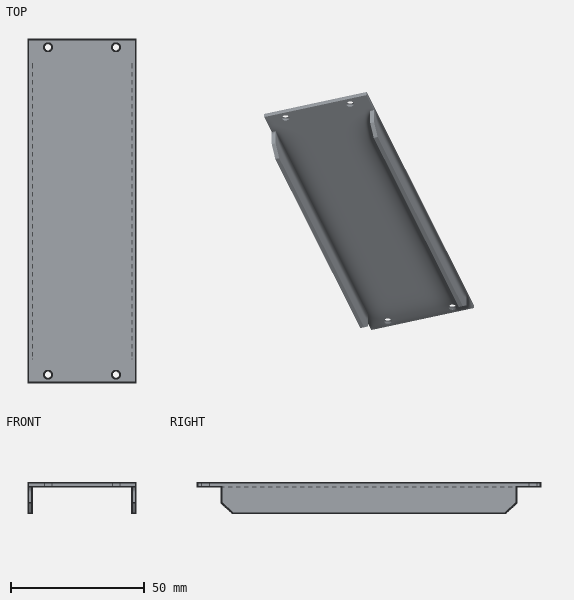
import cadquery as cq

WIDTH = 40.3
LENGTH = 128.5
HEIGHT = 11.5

THICKNESS = 1.5

FLANGE_SETBACK = 9.0
CORNER_CUT_LENGTH = 4.2
CORNER_CUT_HEIGHT = 3.9

HOLE_DIAMETER = 3.0
HOLE_SPACING_X = 25.5
HOLE_END_INSET = 3.0

PANEL_BOTTOM = HEIGHT - THICKNESS


def make_panel():
    """Flat panel with four through holes near its ends."""
    panel = cq.Workplane("XY", origin=(0, 0, PANEL_BOTTOM)).box(
        WIDTH, LENGTH, THICKNESS, centered=(True, True, False)
    )
    hole_spacing_y = LENGTH - 2 * HOLE_END_INSET
    return (
        panel.faces(">Z")
        .workplane()
        .rect(HOLE_SPACING_X, hole_spacing_y, forConstruction=True)
        .vertices()
        .hole(HOLE_DIAMETER)
    )


def make_flange(start_x):
    """Upright flange with cut lower corners, extending in +X from start_x."""
    half_length = LENGTH / 2 - FLANGE_SETBACK
    half_bottom = half_length - CORNER_CUT_LENGTH
    outline = [
        (-half_length, HEIGHT),
        (-half_length, CORNER_CUT_HEIGHT),
        (-half_bottom, 0),
        (half_bottom, 0),
        (half_length, CORNER_CUT_HEIGHT),
        (half_length, HEIGHT),
    ]
    return cq.Workplane("YZ", origin=(start_x, 0, 0)).polyline(outline).close().extrude(THICKNESS)


result = make_panel()
for flange_x in (-WIDTH / 2, WIDTH / 2 - THICKNESS):
    result = result.union(make_flange(flange_x))